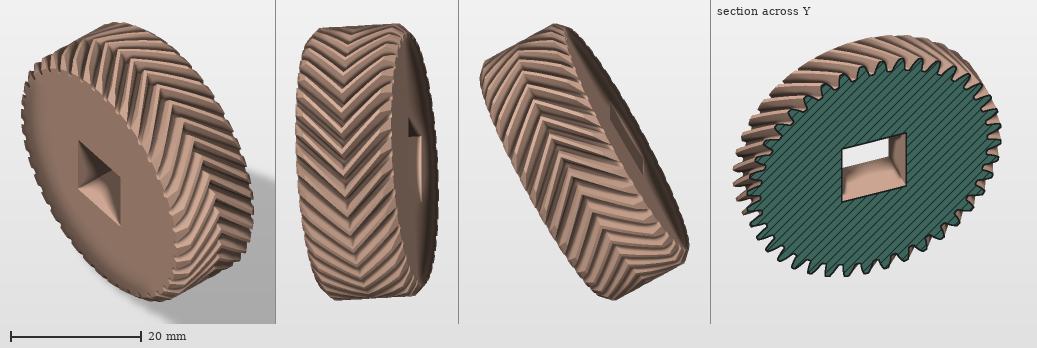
import cadquery as cq
import math

module = 1.0
tooth_count = 40
pressure_angle = math.radians(20)
helix_angle = math.radians(45)
dedendum_factor = 1.25
face_width = 15.0
rim_chamfer = 1.5
bore_side = 10.6
root_fillet = 0.33

overrun = 0.2

pitch_radius = module * tooth_count / 2
tip_radius = pitch_radius + module
root_radius = pitch_radius - dedendum_factor * module
sector_inner_radius = root_radius - module
base_radius = pitch_radius * math.cos(pressure_angle)
half_width = face_width / 2
tooth_pitch = 2 * math.pi / tooth_count
twist_per_length = math.tan(helix_angle) / pitch_radius
half_twist = half_width * twist_per_length
tolerance = 1e-4

origin = cq.Vector(0, 0, 0)
gear_axis = cq.Vector(0, 1, 0)


def polar(radius, angle):
    return radius * math.cos(angle), radius * math.sin(angle)


def involute(angle):
    return math.tan(angle) - angle


def half_tooth_angle(radius):
    """Angle from the tooth centre line to its involute flank."""
    pressure = math.acos(base_radius / radius)
    return tooth_pitch / 4 + involute(pressure_angle) - involute(pressure)


def flank(centre, side):
    """Flank points from the top of the root fillet to just beyond the tip."""
    fillet_top = root_radius + root_fillet
    middle = (fillet_top + pitch_radius) / 2
    radii = [fillet_top, middle, pitch_radius, tip_radius, tip_radius + overrun]
    return [polar(r, centre + side * half_tooth_angle(r)) for r in radii]


def sector_profile(centre):
    """Transverse outline of one tooth and the root land before it."""
    fillet_angle = root_fillet / root_radius
    wall_angle = half_tooth_angle(root_radius + root_fillet)
    foot_angle = wall_angle + fillet_angle
    fillet_inset = 1 - math.sqrt(0.5)
    fillet_mid_radius = root_radius + root_fillet * fillet_inset
    fillet_mid_angle = wall_angle + fillet_angle * fillet_inset

    end = centre + foot_angle
    start = end - tooth_pitch
    rising = flank(centre, -1)
    falling = flank(centre, 1)[::-1]
    return (
        cq.Workplane("XZ")
        .moveTo(*polar(root_radius, start))
        .threePointArc(
            polar(root_radius, centre - tooth_pitch / 2),
            polar(root_radius, centre - foot_angle),
        )
        .threePointArc(polar(fillet_mid_radius, centre - fillet_mid_angle), rising[0])
        .spline(rising[1:], includeCurrent=True)
        .lineTo(*falling[0])
        .spline(falling[1:], includeCurrent=True)
        .threePointArc(
            polar(fillet_mid_radius, centre + fillet_mid_angle),
            polar(root_radius, end),
        )
        .lineTo(*polar(sector_inner_radius, end))
        .lineTo(*polar(sector_inner_radius, start))
        .close()
    )


def chamfered_disc():
    disc = cq.Workplane("XZ").circle(tip_radius).extrude(half_width, both=True)
    return disc.edges().chamfer(rim_chamfer)


def distance_from_axis(vertex):
    return math.hypot(vertex.X, vertex.Z)


def tooth_skin():
    """Outer faces of the front half of one tooth: every corner on or above the root."""
    length = half_width + overrun
    twist = math.degrees(length * twist_per_length)
    sector = sector_profile(half_twist).twistExtrude(length, -twist)
    trimmed = sector.intersect(chamfered_disc())
    limit = root_radius - tolerance
    return [
        face
        for face in trimmed.faces().vals()
        if all(distance_from_axis(v) > limit for v in face.Vertices())
    ]


def around_axis(shapes):
    """Copies of the shapes at every tooth position."""
    step = math.degrees(tooth_pitch)
    return [
        shape.rotate(origin, gear_axis, i * step)
        for i in range(tooth_count)
        for shape in shapes
    ]


def end_face(skin):
    """Front face, bounded by the tooth outline and the square bore."""
    rim = [
        edge
        for face in skin
        for edge in face.Edges()
        if all(abs(v.Y + half_width) < tolerance for v in edge.Vertices())
    ]
    outline = cq.Wire.assembleEdges(around_axis(rim))
    bore = cq.Workplane("XZ", origin=(0, -half_width, 0)).rect(bore_side, bore_side)
    return cq.Face.makeFromWires(outline, [bore.wire().val()])


def bore_walls():
    return cq.Workplane("XY").box(bore_side, face_width, bore_side).faces("#Y").vals()


def herringbone_gear():
    """Close the mirrored halves, the end faces and the bore into one solid."""
    skin = tooth_skin()
    front = around_axis(skin) + [end_face(skin)]
    back = [face.mirror("XZ") for face in front]
    shell = cq.Shell.makeShell(front + back + bore_walls())
    return cq.Workplane(cq.Solid.makeSolid(shell))


result = herringbone_gear()